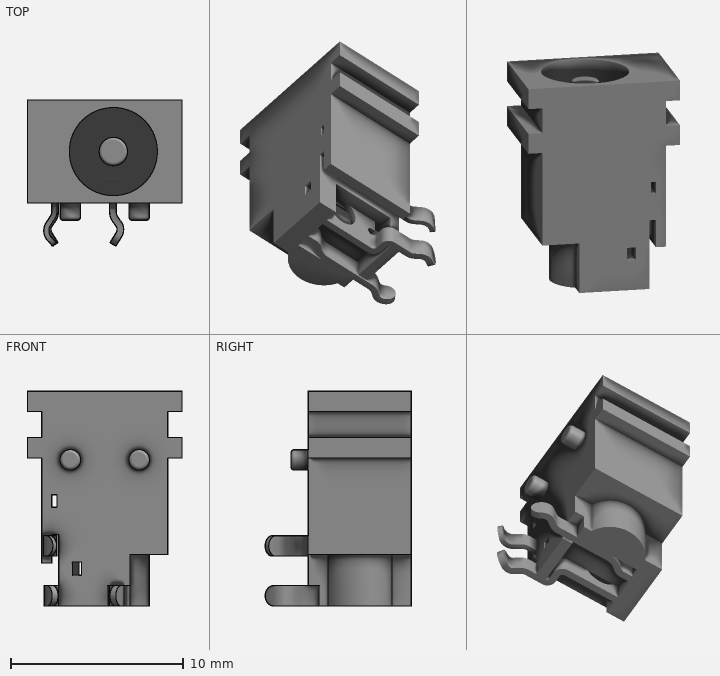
import cadquery as cq
import math

height = 12.5
depth = 6.0
front_y = -depth / 2
back_y = depth / 2
body_half_width = 3.68
flange_half_width = 4.5
flange_height = 1.2
rib_bottom_z = 8.6
body_bottom_z = 3.0
left_wall_bottom_z = 2.5

socket_x = 0.5
socket_radius = 2.56
socket_floor_z = 5.0
base_round_radius = 2.1

base_left_x = -2.69
base_right_x = 1.48
post_back_y = -2.36
foot_front_y = 1.79

peg_spacing = 4.0
peg_z = 8.5
peg_radius = 0.6
peg_length = 1.0
peg_fillet = 0.2

tip_y = -5.5
tail_width = 1.2
thickness = 0.4
spring_thickness = 0.3

stiff_tail_bend_y = -3.51
stiff_tail_entry_radius = 0.52
stiff_tail_slope_drop = 0.3
stiff_tail_crest_radius = 0.7
stiff_tail_hook_radius = 0.85
stiff_tail_lean = 35.0
stiff_tail_hook = 32.0

spring_tail_bend_y = -3.46
spring_tail_entry_radius = 0.54
spring_tail_slope_drop = 0.35
spring_tail_crest_radius = 0.86
spring_tail_lean = 34.0
spring_tail_hook = 44.0

pin_radius = 0.82
pin_top_z = 12.0
pin_fillet = 0.18
pin_tail_x = 0.48
pin_jog_y = -0.08
pin_jog_entry_radius = 1.2
pin_jog_exit_radius = 0.6
pin_jog_angle = 45.0
recess_left_x = 0.18

switch_tail_x = base_left_x - thickness / 2
switch_bend_y = -1.6
switch_inner_bend = 0.2
switch_plate_x = -1.49
switch_plate_front_y = -1.86
switch_hole_radius = 1.0
switch_hole_y = 0.61
switch_hole_z = 1.7
relief_radius = 0.25

spring_slot_left_x = -3.08
spring_tail_bottom_z = 2.9
spring_slot_clearance = 0.05
spring_slot_top_z = spring_tail_bottom_z + tail_width + spring_slot_clearance
spring_tail_x = spring_slot_left_x + spring_thickness / 2
spring_window_bottom_z = 5.75
spring_window_top_z = 6.46
switch_window_right_x = -1.36
switch_window_bottom_z = 1.8
switch_window_top_z = 2.56


def block(x0, x1, y0, y1, z0, z1):
    """Box between two opposite corners."""
    return cq.Workplane("XY").box(x1 - x0, y1 - y0, z1 - z0, centered=False).translate((x0, y0, z0))


def strip(start, heading, moves, thick, z0, width, round_tip=False):
    """Bent flat strip, standing on edge, whose middle follows a chain of moves.

    A move is ("line", length) or ("bend", radius, angle), angles in degrees, left turns positive.
    The two sides are the middle path shifted by half the thickness.
    """
    half = thick / 2
    x, y = start
    angle = math.radians(heading)

    def side(offset):
        return (x - offset * math.sin(angle), y + offset * math.cos(angle))

    left = [("start", side(half))]
    right = [("start", side(-half))]
    for move in moves:
        if move[0] == "line":
            x += move[1] * math.cos(angle)
            y += move[1] * math.sin(angle)
            left.append(("line", side(half)))
            right.append(("line", side(-half)))
            continue
        radius, turn = move[1], math.radians(move[2])
        hand = math.copysign(1, turn)
        centre_x = x - hand * radius * math.sin(angle)
        centre_y = y + hand * radius * math.cos(angle)
        middles = []
        for _ in range(2):
            angle += turn / 2
            x = centre_x + hand * radius * math.sin(angle)
            y = centre_y - hand * radius * math.cos(angle)
            middles.append((side(half), side(-half)))
        left.append(("arc", middles[0][0], middles[1][0]))
        right.append(("arc", middles[0][1], middles[1][1]))

    outline = cq.Workplane("XY").workplane(offset=z0).moveTo(*left[0][1])
    for step in left[1:]:
        outline = outline.lineTo(*step[1]) if step[0] == "line" else outline.threePointArc(*step[1:])
    outline = outline.lineTo(*right[-1][-1])
    for index in range(len(right) - 1, 0, -1):
        target = right[index - 1][-1]
        step = right[index]
        outline = outline.lineTo(*target) if step[0] == "line" else outline.threePointArc(step[1], target)
    body = outline.close().extrude(width)
    if round_tip:
        body = body.cut(tip_corners((x, y), angle, thick, z0, width))
    return body


def tip_corners(end, angle, thick, z0, width):
    """Waste outside a half-round tip that ends at the given point and heading."""
    radius = width / 2
    along = cq.Vector(math.cos(angle), math.sin(angle), 0)
    centre = cq.Vector(end[0], end[1], z0 + radius) - along * radius
    plane = cq.Plane(origin=centre.toTuple(), xDir=along.toTuple(), normal=(-along.y, along.x, 0))
    margin = 0.12
    waste = (
        cq.Workplane(plane)
        .center((radius + margin) / 2, 0)
        .rect(radius + margin, width + 2 * margin)
        .extrude(thick, both=True)
    )
    return waste.cut(cq.Workplane(plane).circle(radius).extrude(thick, both=True))


def tail_moves(hand, start_y, bend_y, thick, entry_face, slope_drop, crest_face, hook_face, lean, hook):
    """Straight leg, lean sideways, then hook back to the tip; hand -1 leans to -X, +1 to +X.

    Lengths and radii are on the face at the side the tail leans to: the entry bend from bend_y,
    the slope, the crest where the tail turns parallel to Y again, and the hook after it.
    """
    lean_rad, hook_rad = math.radians(lean), math.radians(hook)
    tip_drop = bend_y - tip_y - entry_face * math.sin(lean_rad) - slope_drop
    tip_drop -= crest_face * math.sin(lean_rad) + hook_face * math.sin(hook_rad)
    return [
        ("line", start_y - bend_y),
        ("bend", entry_face + thick / 2, hand * lean),
        ("line", slope_drop / math.cos(lean_rad)),
        ("bend", crest_face - thick / 2, -hand * lean),
        ("bend", hook_face - thick / 2, -hand * hook),
        ("line", tip_drop / math.cos(hook_rad)),
    ]


def stiff_tail_moves(hand, start_y):
    """Solder tail shared by the pin and switch contacts."""
    return tail_moves(
        hand,
        start_y,
        stiff_tail_bend_y,
        thickness,
        stiff_tail_entry_radius,
        stiff_tail_slope_drop,
        stiff_tail_crest_radius,
        stiff_tail_hook_radius,
        stiff_tail_lean,
        stiff_tail_hook,
    )


def make_pin_contact():
    pin = (
        cq.Workplane("XY")
        .workplane(offset=tail_width)
        .center(socket_x, 0)
        .circle(pin_radius)
        .extrude(pin_top_z - tail_width)
        .faces(">Z")
        .edges()
        .fillet(pin_fillet)
    )
    tail = strip(
        (pin_tail_x, pin_jog_y), -90, stiff_tail_moves(1, pin_jog_y), thickness, 0, tail_width, round_tip=True
    )
    jog_radii = pin_jog_entry_radius + pin_jog_exit_radius
    jog_end_y = pin_jog_y + jog_radii * math.sin(math.radians(pin_jog_angle))
    jog = strip(
        (pin_tail_x, pin_jog_y),
        90,
        [
            ("bend", pin_jog_entry_radius, pin_jog_angle),
            ("bend", pin_jog_exit_radius, -pin_jog_angle),
            ("line", foot_front_y - jog_end_y),
        ],
        thickness,
        0,
        tail_width,
    )
    return pin.union(tail).union(jog)


def switch_plate_blank():
    """Plate of the switch contact before its hole and relief are cut."""
    return block(
        switch_plate_x - thickness, switch_plate_x, switch_plate_front_y, foot_front_y, 0, body_bottom_z
    )


def make_switch_contact():
    left_face_x = switch_plate_x - thickness
    blank = switch_plate_blank()
    blank = blank.cut(
        block(left_face_x, switch_plate_x, front_y, switch_bend_y, 0, tail_width + 2 * relief_radius)
    )
    hole = (
        cq.Workplane("YZ")
        .workplane(offset=left_face_x)
        .center(switch_hole_y, switch_hole_z)
        .circle(switch_hole_radius)
        .extrude(thickness)
    )
    relief = (
        cq.Workplane("YZ")
        .workplane(offset=left_face_x)
        .center(switch_bend_y, tail_width + relief_radius)
        .circle(relief_radius)
        .extrude(thickness)
    )
    bend_radius = switch_inner_bend + thickness / 2
    outer_bend_radius = switch_bend_y - post_back_y - bend_radius
    plate_middle_x = switch_plate_x - thickness / 2
    shift = plate_middle_x - switch_tail_x
    tail = strip(
        (plate_middle_x, switch_bend_y),
        -90,
        [
            ("bend", bend_radius, -90),
            ("line", shift - bend_radius - outer_bend_radius),
            ("bend", outer_bend_radius, 90),
        ]
        + stiff_tail_moves(-1, post_back_y),
        thickness,
        0,
        tail_width,
        round_tip=True,
    )
    return blank.cut(hole).cut(relief).union(tail)


def make_spring_contact():
    """Thin contact in the left wall slot; its strip runs straight back inside the housing."""
    moves = tail_moves(
        -1,
        foot_front_y,
        spring_tail_bend_y,
        spring_thickness,
        spring_tail_entry_radius,
        spring_tail_slope_drop,
        spring_tail_crest_radius,
        spring_tail_crest_radius,
        spring_tail_lean,
        spring_tail_hook,
    )
    return strip(
        (spring_tail_x, foot_front_y),
        -90,
        moves,
        spring_thickness,
        spring_tail_bottom_z,
        tail_width,
        round_tip=True,
    )


def make_housing():
    housing = block(-body_half_width, body_half_width, front_y, back_y, body_bottom_z, height)
    housing = housing.union(
        block(-body_half_width, base_left_x, front_y, back_y, left_wall_bottom_z, body_bottom_z)
    )
    for bottom_z in (height - flange_height, rib_bottom_z):
        housing = housing.union(
            block(-flange_half_width, flange_half_width, front_y, back_y, bottom_z, bottom_z + flange_height)
        )

    housing = housing.union(block(base_left_x, base_right_x, front_y, back_y, 0, body_bottom_z))
    base_round = cq.Workplane("XY").center(socket_x, 0).circle(base_round_radius).extrude(body_bottom_z)
    housing = housing.union(base_round)
    housing = housing.cut(
        block(base_left_x, switch_plate_x, post_back_y, foot_front_y, 0, left_wall_bottom_z)
    )
    housing = housing.cut(switch_plate_blank())

    housing = housing.cut(block(recess_left_x, base_right_x, front_y, post_back_y, 0, tail_width))
    pin_tail_right_x = pin_tail_x + thickness / 2
    housing = housing.cut(
        block(switch_plate_x, pin_tail_right_x, post_back_y, foot_front_y, 0, tail_width)
    )

    housing = housing.cut(
        block(spring_slot_left_x, base_left_x, front_y, back_y, left_wall_bottom_z, spring_slot_top_z)
    )
    housing = housing.cut(
        block(
            spring_slot_left_x,
            spring_slot_left_x + spring_thickness,
            front_y,
            back_y,
            spring_window_bottom_z,
            spring_window_top_z,
        )
    )
    housing = housing.cut(
        block(
            switch_plate_x - thickness,
            switch_window_right_x,
            front_y,
            back_y,
            switch_window_bottom_z,
            switch_window_top_z,
        )
    )

    socket_axis = cq.Workplane("XY").center(socket_x, 0)
    housing = housing.cut(
        socket_axis.workplane(offset=socket_floor_z).circle(socket_radius).extrude(height - socket_floor_z)
    )
    housing = housing.cut(
        socket_axis.workplane(offset=tail_width).circle(pin_radius).extrude(socket_floor_z - tail_width)
    )

    for peg_x in (-peg_spacing / 2, peg_spacing / 2):
        peg = (
            cq.Workplane("XZ", origin=(peg_x, front_y, peg_z))
            .circle(peg_radius)
            .extrude(peg_length)
            .faces("<Y")
            .edges()
            .fillet(peg_fillet)
        )
        housing = housing.union(peg)
    return housing


housing = make_housing()
pin_contact = make_pin_contact()
switch_contact = make_switch_contact()
spring_contact = make_spring_contact()

result = cq.Compound.makeCompound(
    [body.solids().val() for body in (housing, pin_contact, switch_contact, spring_contact)]
)